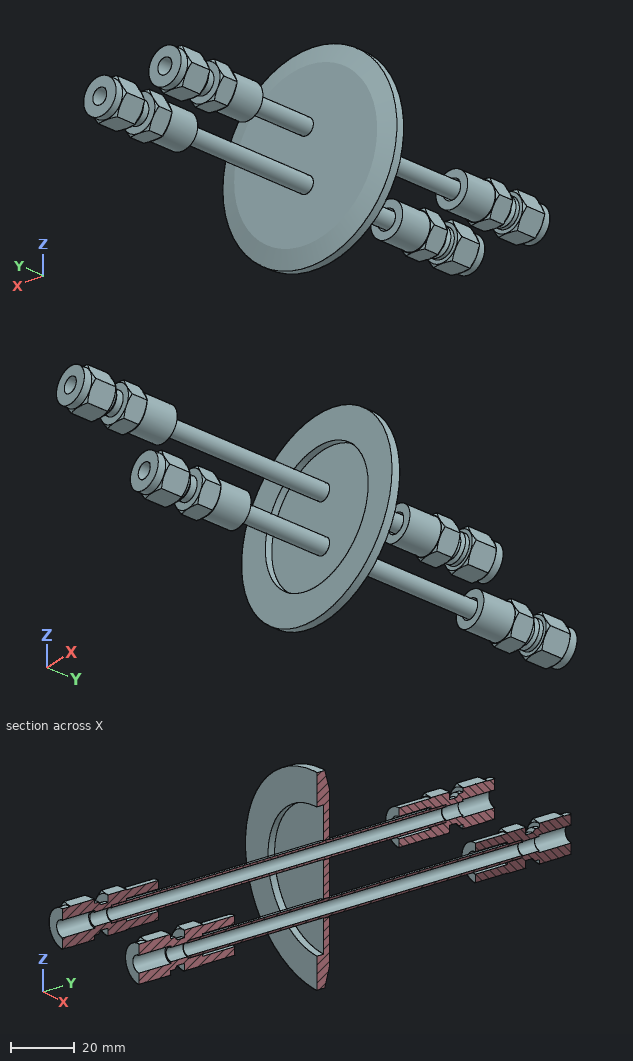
import cadquery as cq
import math

FLANGE_DIAMETER = 75.0
FLANGE_THICKNESS = 5.0
RIM_THICKNESS = 3.2
BEVEL_ANGLE = 15.0
RECESS_DIAMETER = 51.2
RECESS_DEPTH = 2.5

OVERALL_LENGTH = 200.0
TUBE_SPACING = 20.0
STAGGER = 15.0
RUN_HALF_LENGTH = OVERALL_LENGTH / 2 - STAGGER

TUBE_DIAMETER = 6.5
TUBE_BORE = 4.5

HEX_ACROSS_FLATS = 14.2
COLLAR_DIAMETER = 14.0
COLLAR_LENGTH = 3.0
NUT_LENGTH = 12.5
RING_DIAMETER = 11.2
RING_END = 14.2
NECK_START = 15.2
NECK_DIAMETER = 9.0
BODY_HEX_START = 17.8
BODY_HEX_LENGTH = 7.5
SOCKET_DIAMETER = 13.8
FITTING_LENGTH = 37.8
HEX_CHAMFER_ANGLE = 30.0

ENTRY_BORE = 6.0
THROUGH_BORE = 4.8
CLEARANCE_BORE = 7.5
TUBE_SEAT_LENGTH = 6.0

BODY_HEX_END = BODY_HEX_START + BODY_HEX_LENGTH
TUBE_END = BODY_HEX_END - TUBE_SEAT_LENGTH
TUBE_HALF_LENGTH = RUN_HALF_LENGTH - TUBE_END


def cylinder(diameter, start, end):
    """Cylinder on the Z axis from height start to height end."""
    return cq.Workplane("XY").workplane(offset=start).circle(diameter / 2).extrude(end - start)


def chamfered_hex(start, end, face_diameter):
    """Hexagonal prism on the Z axis with its corners turned down at both ends."""
    corner_diameter = HEX_ACROSS_FLATS / math.cos(math.pi / 6)
    prism = cq.Workplane("XY").workplane(offset=start).polygon(6, corner_diameter).extrude(end - start)
    setback = (corner_diameter - face_diameter) / 2
    drop = setback * math.tan(math.radians(HEX_CHAMFER_ANGLE))
    envelope = cylinder(corner_diameter, start, end).faces("<Z or >Z").chamfer(drop, setback)
    return prism.intersect(envelope)


def ring_taper():
    """Cone that narrows from the ring down to the neck."""
    return (
        cq.Workplane("XY")
        .workplane(offset=RING_END)
        .circle(RING_DIAMETER / 2)
        .workplane(offset=NECK_START - RING_END)
        .circle(NECK_DIAMETER / 2)
        .loft()
    )


def make_fitting():
    """Compression fitting along Z, with its nut end at Z = 0 and its socket end on top."""
    outside = (
        cylinder(COLLAR_DIAMETER, 0, COLLAR_LENGTH)
        .union(chamfered_hex(COLLAR_LENGTH, NUT_LENGTH, COLLAR_DIAMETER))
        .union(cylinder(RING_DIAMETER, NUT_LENGTH, RING_END))
        .union(ring_taper())
        .union(cylinder(NECK_DIAMETER, NECK_START, BODY_HEX_START))
        .union(chamfered_hex(BODY_HEX_START, BODY_HEX_END, HEX_ACROSS_FLATS))
        .union(cylinder(SOCKET_DIAMETER, BODY_HEX_END, FITTING_LENGTH))
    )
    return (
        outside.cut(cylinder(ENTRY_BORE, 0, NUT_LENGTH))
        .cut(cylinder(THROUGH_BORE, NUT_LENGTH, TUBE_END))
        .cut(cylinder(TUBE_DIAMETER, TUBE_END, BODY_HEX_END))
        .cut(cylinder(CLEARANCE_BORE, BODY_HEX_END, FITTING_LENGTH))
    )


def make_flange():
    """Bevelled disc with a shallow recess in its front face and a hole for each tube."""
    radius = FLANGE_DIAMETER / 2
    bevel_height = FLANGE_THICKNESS - RIM_THICKNESS
    back_radius = radius - bevel_height / math.tan(math.radians(BEVEL_ANGLE))
    profile = [
        (0, RECESS_DEPTH),
        (RECESS_DIAMETER / 2, RECESS_DEPTH),
        (RECESS_DIAMETER / 2, 0),
        (radius, 0),
        (radius, RIM_THICKNESS),
        (back_radius, FLANGE_THICKNESS),
        (0, FLANGE_THICKNESS),
    ]
    disc = cq.Workplane("XY").polyline(profile).close().revolve(360, (0, 0), (0, 1))
    holes = (
        cq.Workplane("XZ")
        .pushPoints([(0, TUBE_SPACING / 2), (0, -TUBE_SPACING / 2)])
        .circle(TUBE_DIAMETER / 2)
        .extrude(-FLANGE_THICKNESS)
    )
    return disc.cut(holes)


def make_tube(center_y, height):
    """Straight tube along Y, centred on center_y."""
    return (
        cq.Workplane("XZ", origin=(0, center_y + TUBE_HALF_LENGTH, height))
        .circle(TUBE_DIAMETER / 2)
        .circle(TUBE_BORE / 2)
        .extrude(2 * TUBE_HALF_LENGTH)
    )


flange = make_flange()
tubes = []
fittings = []
for side in (1, -1):
    height = side * TUBE_SPACING / 2
    center_y = -side * STAGGER
    tubes.append(make_tube(center_y, height))
    for end in (1, -1):
        fitting = make_fitting().rotate((0, 0, 0), (1, 0, 0), end * 90)
        fittings.append(fitting.translate((0, center_y + end * RUN_HALF_LENGTH, height)))

bodies = [flange, *tubes, *fittings]
result = cq.Compound.makeCompound([body.val() for body in bodies])